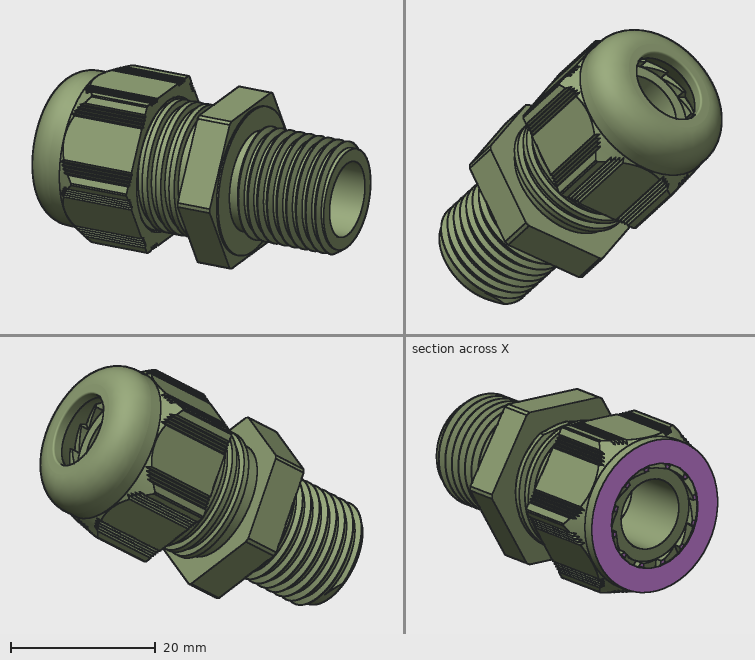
import cadquery as cq
import math

OVERALL_LENGTH = 45.0
ACROSS_FLATS = 22.0
APOTHEM = ACROSS_FLATS / 2
FLAT_COUNT = 6
FLAT_ANGLE = 360 / FLAT_COUNT

TOP_ANGLE = 90
BOTTOM_ANGLE = -90

CAP_LENGTH = 17.15
CAP_CORNER_DIAMETER = 25.25
DOME_DIAMETER = 21.9
DOME_RADIUS = 4.15
DOME_LENGTH = 5.85
CHAMFER_END = 8.5
MOUTH_DIAMETER = 10.8
MOUTH_ROUNDING = 0.25
MOUTH_LENGTH = 1.5
CAP_CONE_ANGLE = 36.0
CAP_BORE_DIAMETER = 19.1

GROOVE_COUNT = 4
GROOVE_PITCH = 0.5
GROOVE_WALL_ANGLE = 60
GROOVE_DEPTH = GROOVE_PITCH / 2 * math.tan(math.radians(GROOVE_WALL_ANGLE))
GROOVE_GROUP_START = 3.15

HEX_START = 25.05
HEX_END = 30.05
HEX_CORNER_DIAMETER = 25.05
FLANGE_DIAMETER = 21.0
FLANGE_END = 30.35
NECK_DIAMETER = 16.95
NECK_START = 9.9
BODY_BORE_DIAMETER = 10.7

TOOTH_COUNT = 12
TOOTH_ANGLE = 360 / TOOTH_COUNT
TOOTH_START = 4.05
TOOTH_DEPTH = 1.35
TOOTH_PHASE = -8.5
RING_OUTER_DIAMETER = 16.2
RING_CLEARANCE = 0.1

CAP_THREAD_DIAMETER = 18.6
CAP_THREAD_LENGTH = 10.45
CAP_THREAD_TURNS = 5
CAP_THREAD_PITCH = CAP_THREAD_LENGTH / CAP_THREAD_TURNS
CAP_THREAD_END = 24.05
CAP_THREAD_CREST = 0.8
CAP_THREAD_BASE = 1.25
RUNOUT_START_ANGLE = 59.0
RUNOUT_STEP_ANGLE = 80.0
RUNOUT_HEIGHT = 0.25

SHANK_DIAMETER = 14.25
SCREW_THREAD_DIAMETER = 15.9
SCREW_THREAD_LENGTH = 13.5
SCREW_THREAD_TURNS = 9
SCREW_THREAD_PITCH = SCREW_THREAD_LENGTH / SCREW_THREAD_TURNS
SCREW_THREAD_START = 31.0
SCREW_THREAD_CREST = 0.1
SCREW_THREAD_BASE = 1.05

SEAL_DIAMETER = 13.5
SEAL_BORE_DIAMETER = 10.0
SEAL_START = 5.4
SEAL_END = 16.2

THREAD_ROOT_OVERLAP = 0.22


def cylinder(diameter, start, end):
    return cq.Workplane("YZ", origin=(start, 0, 0)).circle(diameter / 2).extrude(end - start)


def revolve_about_x(profile):
    return profile.close().revolve(360, (0, 0, 0), (1, 0, 0))


def hexagon(start, end, corner_diameter):
    """Hexagonal prism with flats at +Z and -Z and its corners cut to a cylinder."""
    sharp_diameter = ACROSS_FLATS / math.cos(math.radians(FLAT_ANGLE / 2))
    prism = cq.Workplane("YZ", origin=(start, 0, 0)).polygon(FLAT_COUNT, sharp_diameter).extrude(end - start)
    return prism.intersect(cylinder(corner_diameter, start, end))


def thread(root_diameter, crest_diameter, pitch, turns, crest, base, start, start_angle):
    """Right-handed ridge; start_angle turns from +Y towards +Z."""
    root = root_diameter / 2
    height = crest_diameter / 2 - root
    buried_base = base + (base - crest) * THREAD_ROOT_OVERLAP / height
    buried_root = root - THREAD_ROOT_OVERLAP
    helix = cq.Wire.makeHelix(pitch, pitch * turns, root)
    ridge = (
        cq.Workplane("XZ")
        .moveTo(buried_root, -buried_base / 2)
        .lineTo(root + height, -crest / 2)
        .lineTo(root + height, crest / 2)
        .lineTo(buried_root, buried_base / 2)
        .close()
        .sweep(cq.Workplane(helix), isFrenet=True)
    )
    along_x = ridge.rotate((0, 0, 0), (1, 1, 1), 120)
    return along_x.rotate((0, 0, 0), (1, 0, 0), start_angle).translate((start, 0, 0))


def grip_grooves():
    """All V grooves of the cap nut as cutting prisms."""
    outlines = cq.Workplane("YZ", origin=(DOME_LENGTH, 0, 0))
    for side in (-1, 1):
        for index in range(GROOVE_COUNT):
            near = side * (GROOVE_GROUP_START + index * GROOVE_PITCH)
            far = near + side * GROOVE_PITCH
            outlines = outlines.polyline(
                [(near, APOTHEM), ((near + far) / 2, APOTHEM - GROOVE_DEPTH), (far, APOTHEM)]
            ).close()
    prisms = outlines.extrude(CAP_LENGTH - DOME_LENGTH)
    return [prisms.rotate((0, 0, 0), (1, 0, 0), FLAT_ANGLE * flat) for flat in range(FLAT_COUNT)]


def make_cap_nut():
    dome_r = DOME_DIAMETER / 2
    corner_r = CAP_CORNER_DIAMETER / 2
    grip = hexagon(DOME_LENGTH, CAP_LENGTH, CAP_CORNER_DIAMETER)
    for grooves in grip_grooves():
        grip = grip.cut(grooves)
    chamfered_blank = revolve_about_x(
        cq.Workplane("XY")
        .moveTo(DOME_LENGTH, 0)
        .lineTo(DOME_LENGTH, dome_r)
        .lineTo(CHAMFER_END, corner_r)
        .lineTo(CAP_LENGTH, corner_r)
        .lineTo(CAP_LENGTH, 0)
    )
    dome = cylinder(DOME_DIAMETER, 0, DOME_LENGTH).faces("<X").edges().fillet(DOME_RADIUS)
    return grip.intersect(chamfered_blank).union(dome).cut(cap_cavity())


def cap_cavity():
    mouth_r = MOUTH_DIAMETER / 2
    bore_r = CAP_BORE_DIAMETER / 2
    cone_end = MOUTH_LENGTH + (bore_r - mouth_r) / math.tan(math.radians(CAP_CONE_ANGLE))
    return revolve_about_x(
        cq.Workplane("XY")
        .moveTo(0, 0)
        .lineTo(0, mouth_r + MOUTH_ROUNDING)
        .radiusArc((MOUTH_ROUNDING, mouth_r), -MOUTH_ROUNDING)
        .lineTo(MOUTH_LENGTH, mouth_r)
        .lineTo(cone_end, bore_r)
        .lineTo(CAP_LENGTH, bore_r)
        .lineTo(CAP_LENGTH, 0)
    )


def clamping_ring():
    """Ring whose toothed front tapers parallel to the cone inside the cap nut."""
    inner_r = SEAL_DIAMETER / 2
    outer_r = RING_OUTER_DIAMETER / 2
    slope = math.tan(math.radians(CAP_CONE_ANGLE))
    tip_r = MOUTH_DIAMETER / 2 + (TOOTH_START - MOUTH_LENGTH) * slope - RING_CLEARANCE
    ring = revolve_about_x(
        cq.Workplane("XY")
        .moveTo(TOOTH_START, inner_r)
        .lineTo(TOOTH_START, tip_r)
        .lineTo(TOOTH_START + (outer_r - tip_r) / slope, outer_r)
        .lineTo(NECK_START, outer_r)
        .lineTo(NECK_START, inner_r)
    )
    tooth_width = 2 * inner_r * math.tan(math.radians(TOOTH_ANGLE / 2))
    tooth_gap = (
        cq.Workplane("XZ")
        .moveTo(TOOTH_START, tooth_width / 2)
        .lineTo(TOOTH_START, -tooth_width / 2)
        .lineTo(TOOTH_START + TOOTH_DEPTH, -tooth_width / 2)
        .close()
        .extrude(-RING_OUTER_DIAMETER)
    )
    for index in range(TOOTH_COUNT):
        angle = TOOTH_PHASE - TOP_ANGLE + TOOTH_ANGLE * (index + 0.5)
        ring = ring.cut(tooth_gap.rotate((0, 0, 0), (1, 0, 0), angle))
    return ring


def cap_thread():
    """Ridge on the neck whose last part steps down to a low end at the top."""
    crest_r = CAP_THREAD_DIAMETER / 2
    low_r = NECK_DIAMETER / 2 + RUNOUT_HEIGHT
    ridge = thread(
        NECK_DIAMETER,
        CAP_THREAD_DIAMETER,
        CAP_THREAD_PITCH,
        CAP_THREAD_TURNS,
        CAP_THREAD_CREST,
        CAP_THREAD_BASE,
        CAP_THREAD_END - CAP_THREAD_LENGTH,
        TOP_ANGLE,
    )
    start = math.radians(RUNOUT_START_ANGLE)
    step = math.radians(RUNOUT_STEP_ANGLE)
    cut_start = CAP_THREAD_END - CAP_THREAD_PITCH / 2
    runout = (
        cq.Workplane("YZ", origin=(cut_start, 0, 0))
        .moveTo(crest_r * math.cos(start), crest_r * math.sin(start))
        .lineTo(low_r * math.cos(step), low_r * math.sin(step))
        .lineTo(0, low_r)
        .lineTo(0, crest_r)
        .lineTo(crest_r * math.cos(start), crest_r)
        .close()
        .extrude(CAP_THREAD_PITCH)
    )
    return ridge.cut(runout)


def screw_thread():
    """Ridge on the shank whose two ends run out flat at the bottom."""
    ridge = thread(
        SHANK_DIAMETER,
        SCREW_THREAD_DIAMETER,
        SCREW_THREAD_PITCH,
        SCREW_THREAD_TURNS,
        SCREW_THREAD_CREST,
        SCREW_THREAD_BASE,
        SCREW_THREAD_START,
        BOTTOM_ANGLE,
    )
    for end in (SCREW_THREAD_START, SCREW_THREAD_START + SCREW_THREAD_LENGTH):
        runout = cq.Workplane("XY").box(SCREW_THREAD_PITCH, SHANK_DIAMETER, SHANK_DIAMETER)
        ridge = ridge.cut(runout.translate((end, 0, -SHANK_DIAMETER)))
    return ridge.intersect(cylinder(FLANGE_DIAMETER, FLANGE_END, OVERALL_LENGTH))


def make_gland_body():
    body = cylinder(NECK_DIAMETER, NECK_START, HEX_START)
    body = body.union(hexagon(HEX_START, HEX_END, HEX_CORNER_DIAMETER))
    body = body.union(cylinder(FLANGE_DIAMETER, HEX_END, FLANGE_END))
    body = body.union(cylinder(SHANK_DIAMETER, FLANGE_END, OVERALL_LENGTH))
    body = body.union(cap_thread()).union(screw_thread()).union(clamping_ring())
    seal_seat = cylinder(SEAL_DIAMETER, NECK_START, SEAL_END)
    bore = cylinder(BODY_BORE_DIAMETER, SEAL_END, OVERALL_LENGTH)
    return body.cut(seal_seat).cut(bore)


def make_seal():
    sleeve = cylinder(SEAL_DIAMETER, SEAL_START, SEAL_END)
    return sleeve.cut(cylinder(SEAL_BORE_DIAMETER, SEAL_START, SEAL_END))


cap_nut = make_cap_nut()
gland_body = make_gland_body()
seal = make_seal()

result = cq.Compound.makeCompound([cap_nut.solids().val(), gland_body.solids().val(), seal.solids().val()])